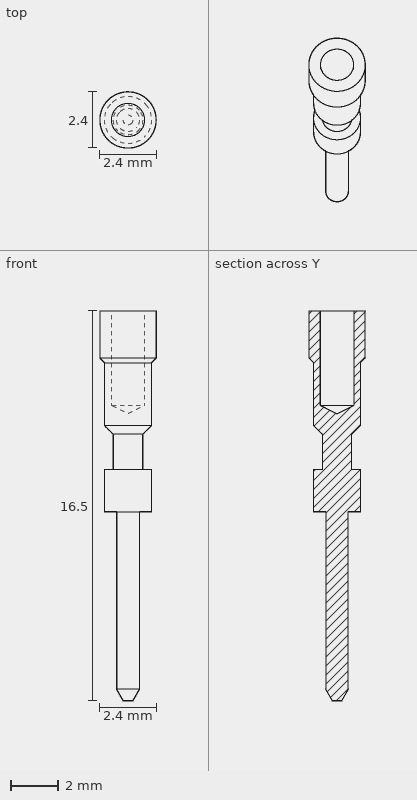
import cadquery as cq

total_height = 16.5
head_bottom = 14.5
barrel_top = 14.3
barrel_bottom = 11.65
neck_top = 11.29
collar_top = 9.8
collar_bottom = 8.0
tip_height = 0.5

head_diameter = 2.4
barrel_diameter = 2.0
neck_diameter = 1.25
pin_diameter = 0.97
tip_diameter = 0.41

bore_diameter = 1.4
bore_depth = 4.0
drill_point_depth = bore_diameter / 4

head_radius = head_diameter / 2
barrel_radius = barrel_diameter / 2
neck_radius = neck_diameter / 2
pin_radius = pin_diameter / 2
tip_radius = tip_diameter / 2
bore_radius = bore_diameter / 2
bore_floor = total_height - bore_depth

half_section = [
    (0, 0),
    (tip_radius, 0),
    (pin_radius, tip_height),
    (pin_radius, collar_bottom),
    (barrel_radius, collar_bottom),
    (barrel_radius, collar_top),
    (neck_radius, collar_top),
    (neck_radius, neck_top),
    (barrel_radius, barrel_bottom),
    (barrel_radius, barrel_top),
    (head_radius, head_bottom),
    (head_radius, total_height),
    (bore_radius, total_height),
    (bore_radius, bore_floor),
    (0, bore_floor - drill_point_depth),
]

result = cq.Workplane("XZ").polyline(half_section).close().revolve(360, (0, 0), (0, 1))